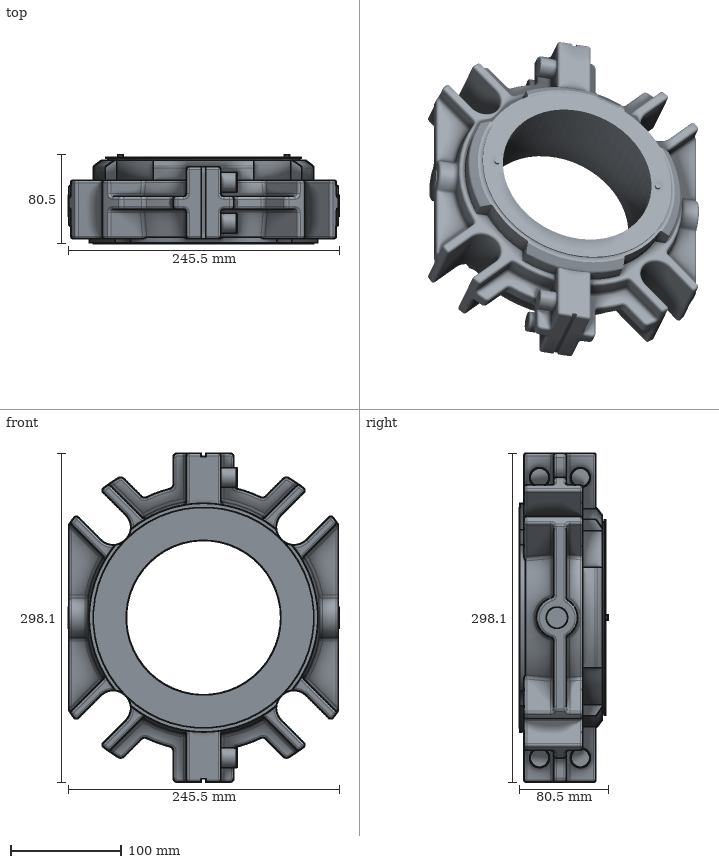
import cadquery as cq
import math


overall_depth = 80.52
bore_diameter = 139.7
liner_radius = 199.82 / 2
flange_radius = 103.6
flange_setback = 0.6
flange_back_y = 6.8
hub_radius = 107.0
hub_back_radius = 105.0

neck_radius = 91.0
neck_back_y = 75.5
pad_half_width = 45.5
pad_chamfer_y = 69.8
pad_end_radius = 92.5
pad_rounding = 2.5

plate_radius = 88.6
plate_seat_radius = 87.0
plate_front_y = 77.2
plate_back_y = 78.4
pin_diameter = 5.0
pin_offset = 75.4

ear_front_y = 4.4
ear_back_y = 69.6
ear_top_z = 298.12 / 2
ear_half_width = 15.5
split_width = 4.3
split_depth = 3.0

middle_y = (ear_front_y + ear_back_y) / 2
web_thickness = 11.5
web_front_y = middle_y - web_thickness / 2
web_back_y = middle_y + web_thickness / 2
web_radius = 120.8
web_ear_half_width = 27.5
web_wing_half_width = 38.0
web_corner_radius = 4.0

wing_front_y = ear_front_y
wing_back_y = 57.6
wing_tip_radius = 148.2
wing_root_radius = 95.0
slot_half_width = 15.9
slot_centre_radius = 115.8
wing_thickness = 9.0
wing_half_width = slot_half_width + wing_thickness
diagonal_angles = (45, 135, 225, 315)
pocket_sectors = ((-45, 45), (45, 90), (90, 135), (135, 225), (225, 270), (270, 315))

cap_face_x = 245.47 / 2
cap_diameter = 19.26
side_x = 122.2
trunnion_y = 34.3
trunnion_radius = 18.6
trunnion_root_x = 95.0

bolt_diameter = 17.98
bolt_z = 126.9
bolt_pitch = 37.0
bolt_end_x = 30.3
bolt_edge_chamfer = 0.5

inner_fillet = 3.0
outer_fillet = 2.4
smooth_cosine = 0.9
shortest_pocket_edge = 10.0
probe_step = 0.05


def disc(radius, front_y, back_y):
    plane = cq.Workplane("XZ", origin=(0, back_y, 0))
    return plane.circle(radius).extrude(back_y - front_y)


def block(x_min, x_max, z_min, z_max, front_y, back_y):
    corner = (x_min, front_y, z_min)
    size = (x_max - x_min, back_y - front_y, z_max - z_min)
    return cq.Workplane("XY").box(*size, centered=False).translate(corner)


def turn(solid, angle):
    """Rotate about the ring axis, from +X towards +Z."""
    return solid.rotate((0, 0, 0), (0, -1, 0), angle)


def revolve_profile(points):
    """Turn a closed outline of (radius, y) points about the ring axis."""
    return cq.Workplane("XY").polyline(points).close().revolve(360, (0, 0, 0), (0, 1, 0))


def distance_from_axis(point):
    return math.hypot(point.x, point.z)


def hub():
    """Barrel between the wings' front and back, thickest at the web."""
    return revolve_profile([
        (0, wing_front_y),
        (flange_radius, wing_front_y),
        (hub_radius, web_front_y),
        (hub_radius, web_back_y),
        (hub_back_radius, wing_back_y),
        (0, wing_back_y),
    ])


def within_sides_and_tips(solid):
    """Trim to the wing tip circle and to the two flat sides."""
    solid = solid.intersect(disc(wing_tip_radius, 0, overall_depth))
    return solid.intersect(block(-side_x, side_x, -wing_tip_radius, wing_tip_radius, 0, overall_depth))


def diagonal_bars(inner_radius, half_width, front_y, back_y):
    bar = block(inner_radius, wing_tip_radius, -half_width, half_width, front_y, back_y)
    bars = turn(bar, diagonal_angles[0])
    for angle in diagonal_angles[1:]:
        bars = bars.union(turn(bar, angle))
    return bars


def web():
    depth = (web_front_y, web_back_y)
    side_field = (
        cq.Workplane("XZ", origin=(0, web_back_y, 0))
        .polyline([(0, 0), (side_x, side_x), (side_x, -side_x)])
        .close()
        .extrude(web_thickness)
    )
    body = disc(web_radius, *depth)
    body = body.union(diagonal_bars(0, web_wing_half_width, *depth))
    body = body.union(side_field).union(turn(side_field, 180))
    body = within_sides_and_tips(body)
    body = body.union(block(-web_ear_half_width, web_ear_half_width, -ear_top_z, ear_top_z, *depth))
    corners = [edge for edge in body.edges("|Y").vals() if distance_from_axis(edge.Center()) > hub_radius]
    return body.newObject(corners).fillet(web_corner_radius)


def wings():
    return within_sides_and_tips(diagonal_bars(wing_root_radius, wing_half_width, wing_front_y, wing_back_y))


def ears():
    """Front part of both ears, as one bar across the ring."""
    return block(-ear_half_width, ear_half_width, -ear_top_z, ear_top_z, wing_front_y, wing_back_y)


def trunnion():
    plane = cq.Workplane("YZ", origin=(trunnion_root_x, trunnion_y, 0))
    return plane.circle(trunnion_radius).extrude(side_x - trunnion_root_x)


def cut_slots(solid):
    """Round-ended bolt slots, open at the wing tips, through the full depth."""
    end = disc(slot_half_width, 0, overall_depth).translate((slot_centre_radius, 0, 0))
    mouth = block(slot_centre_radius, 2 * wing_tip_radius, -slot_half_width, slot_half_width, 0, overall_depth)
    slot = mouth.union(end)
    for angle in diagonal_angles:
        solid = solid.cut(turn(slot, angle))
    return solid


def sharp_edges(solid, want_inner):
    """Sharp edges of the solid: inner (hollow) corners, or outer (protruding) ones."""
    faces_at = {}
    for face in solid.faces().vals():
        for edge in face.Edges():
            faces_at.setdefault(edge.hashCode(), []).append(face)
    found = []
    for edge in solid.edges().vals():
        faces = faces_at[edge.hashCode()]
        if len(faces) < 2:
            continue
        middle = edge.positionAt(0.5)
        normals = [face.normalAt(middle) for face in faces]
        if normals[0].dot(normals[1]) > smooth_cosine:
            continue
        along_face = edge.tangentAt(0.5).cross(normals[0]).normalized()
        probe = cq.Vertex.makeVertex(*(middle + along_face * probe_step).toTuple())
        if probe.distance(faces[0]) > probe_step / 2:
            along_face = along_face * -1
        if (along_face.dot(normals[1]) > 0) == want_inner:
            found.append(edge)
    return found


def in_pocket(point, sector, at_back):
    """True for a point outside the neck, in the angular sector, before or behind the web."""
    start, end = sector
    angle = math.degrees(math.atan2(point.z, point.x))
    beyond_start = (angle - start) % 360
    outside_neck = distance_from_axis(point) > neck_radius
    return outside_neck and beyond_start < end - start and (point.y > middle_y) == at_back


def fillet_pockets(solid):
    """Root fillets in the pockets between web, hub, wings, ears and trunnions."""
    for at_back in (False, True):
        for sector in pocket_sectors:
            roots = [
                edge
                for edge in sharp_edges(solid, want_inner=True)
                if edge.Length() > shortest_pocket_edge and in_pocket(edge.Center(), sector, at_back)
            ]
            solid = solid.newObject(roots).fillet(inner_fillet)
    return solid


def round_outside(solid):
    """Round every protruding edge that lies outside the hub."""
    rims = [
        edge
        for edge in sharp_edges(solid, want_inner=False)
        if distance_from_axis(edge.positionAt(0.5)) > hub_radius + 1
    ]
    return solid.newObject(rims).fillet(outer_fillet)


def casting():
    body = hub().union(web()).union(wings()).union(ears())
    for angle in (0, 180):
        body = body.union(turn(trunnion(), angle))
    body = cut_slots(body).clean()
    return round_outside(fillet_pockets(body))


def ear_extension():
    """Rear part of both ears, behind the web, as one bar across the ring."""
    bar = block(-ear_half_width, ear_half_width, -ear_top_z, ear_top_z, web_back_y + inner_fillet + 1, ear_back_y)
    return bar.edges("(|Z and >Y) or (|Y and (>Z or <Z)) or (|X and >Y)").fillet(outer_fillet)


def front_flange():
    rim = disc(flange_radius, flange_setback, flange_back_y)
    return rim.union(disc(liner_radius, 0, flange_back_y))


def neck():
    pad_ring = revolve_profile([
        (0, 0),
        (liner_radius, 0),
        (liner_radius, pad_chamfer_y),
        (pad_end_radius, neck_back_y),
        (0, neck_back_y),
    ])
    depth = (wing_front_y, neck_back_y)
    bar = block(-liner_radius, liner_radius, -pad_half_width, pad_half_width, *depth)
    pads = pad_ring.intersect(bar)
    pads = pads.edges("%CIRCLE and (not >Y)").edges("not <Y").fillet(pad_rounding)
    return disc(neck_radius, *depth).union(pads).union(turn(pads, 90))


def back_plate():
    plate = disc(plate_seat_radius, neck_back_y, plate_front_y)
    plate = plate.union(disc(plate_radius, plate_front_y, plate_back_y))
    pin = disc(pin_diameter / 2, plate_front_y, overall_depth)
    for x in (-pin_offset, pin_offset):
        plate = plate.union(pin.translate((x, 0, 0)))
    return plate


def bolt_heads():
    """Four heads, two beside each ear."""
    heads = cq.Workplane("YZ", origin=(0, middle_y, 0)).rarray(bolt_pitch, 2 * bolt_z, 2, 2)
    heads = heads.circle(bolt_diameter / 2).extrude(bolt_end_x)
    return heads.faces(">X").edges().chamfer(bolt_edge_chamfer)


def trunnion_caps():
    """Shallow raised discs on the end faces of both trunnions, as one rod across the ring."""
    plane = cq.Workplane("YZ", origin=(0, trunnion_y, 0))
    return plane.circle(cap_diameter / 2).extrude(cap_face_x, both=True)


def ear_splits():
    """Grooves along the outer ends of both ears at the parting plane."""
    half = split_width / 2
    upper = block(-half, half, ear_top_z - split_depth, ear_top_z, 0, overall_depth)
    return upper.union(turn(upper, 180))


ring = cut_slots(front_flange().union(neck()))
result = casting().union(ear_extension()).union(ring)
result = result.union(back_plate()).union(bolt_heads()).union(trunnion_caps())
result = result.cut(ear_splits()).cut(disc(bore_diameter / 2, 0, overall_depth))